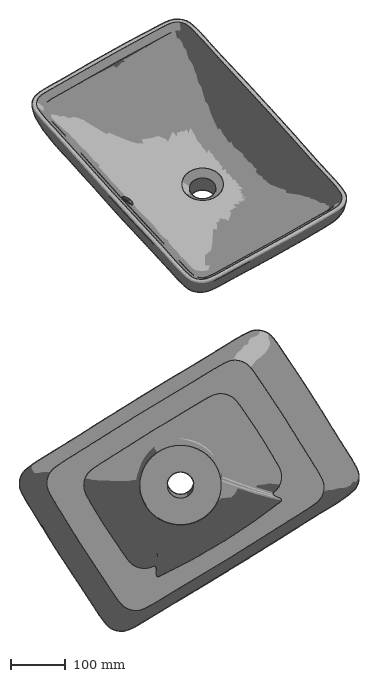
import math

import cadquery as cq

HEIGHT = 168.0
BODY_BOTTOM_Z = 68.0

RIM_HALF_X = 275.0
RIM_FRONT = 210.0
RIM_BACK = 150.0
RIM_CORNER = 38.0
RIM_BULGE = 2.5
RIM_ROUND = 3.0
WALL_TOP_Z = HEIGHT - RIM_ROUND
FOOT_INSET_X = 54.0
FOOT_INSET_FRONT = 35.0
FOOT_INSET_BACK = 9.0
WALL_POWER = 1.7

LIP_WIDTH = 9.0
LIP_CORNER = 30.0
LIP_BOTTOM_Z = 156.0
BASIN_TOP_CORNER = 24.0
BASIN_BULGE = 2.0

SIDE_FLOOR = (211.0, 1.75)
FRONT_FLOOR = (150.0, 1.5)
BACK_FLOOR = (117.0, 3.0)
SIDE_WALL = (254.5, 1.8)
FRONT_WALL = (190.0, 1.6)
BACK_WALL = (135.0, 1.25)
FLOOR_FRACTIONS = (0.0, 0.04, 0.15, 0.35, 0.65, 1.0)
WALL_FRACTIONS = (0.0, 0.5, 1.0)
FLOOR_EDGE_Z = 108.0
FLOOR_EDGE_CORNER = 42.0

DRAIN_RIM_DIA = 76.0
DRAIN_RIM_Z = 48.0
DRAIN_HOLE_DIA = 48.5
DRAIN_CONE_DEPTH = 12.0
FLOOR_START_RADIUS = 36.0

SHELL_DROP = 15.5
SHELL_BACK = (126.0, 1.65)
BOSS_DIA = 149.0
BOSS_TOP_Z = 50.0
BOSS_DRAFT = 4.0

OVERFLOW_DIA = 24.0
OVERFLOW_REACH = 168.0
OVERFLOW_DEPTH = 5.0
OVERFLOW_TILT = 45.0
HOUSING_BOTTOM_Z = 8.0
HOUSING_INNER = (67.0, -33.0)
HOUSING_OUTER = (138.0, -135.0)
HOUSING_FRONT_LOW = 75.0
HOUSING_FRONT_HIGH = 143.0
HOUSING_ROOT_Y = -20.0
HOUSING_POWER = 0.66

UNDERSIDE_ROUND = 4.0
EDGE_MARGIN = 0.5


def outline_quarter(half_x, half_y, corner, bulge):
    """Points from (half_x, 0) round to (0, half_y): bowed side, round corner, bowed side."""
    end_x = half_x - corner
    end_y = half_y - corner
    side_x = half_x - bulge
    side_y = half_y - bulge
    side_steps = (0.0, 0.4, 0.75, 1.0)
    x_side = [(half_x - bulge * step ** 2, end_y * step) for step in side_steps]
    y_side = [(end_x * step, half_y - bulge * step ** 2) for step in reversed(side_steps)]

    lean_x = 2 * bulge / end_y
    lean_y = 2 * bulge / end_x
    gap = corner - bulge
    apex_x = end_x + gap * (1 - lean_x) / (1 - lean_x * lean_y)
    apex_y = end_y + gap * (1 - lean_y) / (1 - lean_x * lean_y)
    turn = math.pi / 2 - math.atan(lean_x) - math.atan(lean_y)
    corner_arc = []
    for step in (0.25, 0.5, 0.75):
        start_weight = (1 - step) ** 2
        apex_weight = 2 * step * (1 - step) * math.cos(turn / 2)
        end_weight = step ** 2
        total = start_weight + apex_weight + end_weight
        x = (start_weight * side_x + apex_weight * apex_x + end_weight * end_x) / total
        y = (start_weight * end_y + apex_weight * apex_y + end_weight * side_y) / total
        corner_arc.append((x, y))
    return x_side + corner_arc + y_side


def rounded_outline(z, half_x, front, back, corner, bulge):
    """Closed rectangle at height z with bowed sides and round corners, as four smooth quarters."""
    along_x = cq.Vector(-1, 0, 0)
    along_y = cq.Vector(0, 1, 0)
    edges = []
    for sign_x, sign_y in ((1, 1), (-1, 1), (-1, -1), (1, -1)):
        quarter = outline_quarter(half_x, back if sign_y > 0 else front, corner, bulge)
        points = [cq.Vector(sign_x * x, sign_y * y, z) for x, y in quarter]
        tangents = [along_y * sign_y, along_x * sign_x]
        if sign_x != sign_y:
            points.reverse()
            tangents = [-tangent for tangent in reversed(tangents)]
        edges.append(cq.Edge.makeSpline(points, tangents))
    return cq.Wire.assembleEdges(edges)


def loft(outlines, ruled=False):
    return cq.Workplane(obj=cq.Solid.makeLoft(outlines, ruled))


def blend(start, end, fraction):
    return start + (end - start) * fraction


def outer_outline(z):
    """Outer wall outline, upright at the rim and leaning inwards below it."""
    lean = (max(0.0, WALL_TOP_Z - z) / (WALL_TOP_Z - BODY_BOTTOM_Z)) ** WALL_POWER
    return rounded_outline(
        z,
        RIM_HALF_X - FOOT_INSET_X * lean,
        RIM_FRONT - FOOT_INSET_FRONT * lean,
        RIM_BACK - FOOT_INSET_BACK * lean,
        RIM_CORNER,
        RIM_BULGE,
    )


def make_body():
    steps = 4
    levels = [blend(BODY_BOTTOM_Z, WALL_TOP_Z, step / steps) for step in range(steps + 1)] + [HEIGHT]
    return loft([outer_outline(z) for z in levels]).faces(">Z").edges().fillet(RIM_ROUND)


def floor_outline(fraction, back_profile, drop=0.0):
    """Basin floor outline, from the drain circle (0) out to the floor edge (1)."""
    eighth = math.pi / 8
    side, front, back = [
        blend(FLOOR_START_RADIUS, reach, fraction ** (1 / power))
        for reach, power in (SIDE_FLOOR, FRONT_FLOOR, back_profile)
    ]
    corner = blend(FLOOR_START_RADIUS * (1 - math.sin(eighth)), FLOOR_EDGE_CORNER, math.sqrt(fraction))
    bulge = blend(FLOOR_START_RADIUS * (1 - math.cos(eighth)), BASIN_BULGE, math.sqrt(fraction))
    z = blend(DRAIN_RIM_Z, FLOOR_EDGE_Z, fraction) - drop
    return rounded_outline(z, side, front, back, corner, bulge)


def wall_outline(fraction):
    """Basin wall outline, from the floor edge (0) up to the lip (1)."""
    profiles = ((SIDE_FLOOR, SIDE_WALL), (FRONT_FLOOR, FRONT_WALL), (BACK_FLOOR, BACK_WALL))
    side, front, back = [
        blend(floor_reach, wall_reach, 1 - (1 - fraction) ** power)
        for (floor_reach, _), (wall_reach, power) in profiles
    ]
    z = blend(FLOOR_EDGE_Z, LIP_BOTTOM_Z, fraction)
    corner = blend(FLOOR_EDGE_CORNER, BASIN_TOP_CORNER, fraction)
    return rounded_outline(z, side, front, back, corner, BASIN_BULGE)


def make_basin_cavity():
    floor = [floor_outline(fraction, BACK_FLOOR) for fraction in FLOOR_FRACTIONS]
    wall = [wall_outline(fraction) for fraction in WALL_FRACTIONS]
    lip_top = rounded_outline(
        HEIGHT, RIM_HALF_X - LIP_WIDTH, RIM_FRONT - LIP_WIDTH, RIM_BACK - LIP_WIDTH,
        LIP_CORNER, BASIN_BULGE,
    )
    lip = loft([wall_outline(1.0), lip_top], ruled=True)
    return loft(floor).union(loft(wall)).union(lip)


def make_basin_shell():
    """Convex underside of the basin, following the floor at a set drop."""
    outlines = [floor_outline(fraction, SHELL_BACK, SHELL_DROP) for fraction in FLOOR_FRACTIONS]
    return loft(outlines)


def make_boss():
    return cq.Workplane().circle(BOSS_DIA / 2).extrude(BOSS_TOP_Z, taper=-BOSS_DRAFT)


def housing_outline(z):
    """Fan-shaped outline with straight sides and a bowed front."""
    fraction = ((z - HOUSING_BOTTOM_Z) / (BODY_BOTTOM_Z - HOUSING_BOTTOM_Z)) ** HOUSING_POWER
    side_x = blend(HOUSING_INNER[0], HOUSING_OUTER[0], fraction)
    side_y = blend(HOUSING_INNER[1], HOUSING_OUTER[1], fraction)
    front_y = -blend(HOUSING_FRONT_LOW, HOUSING_FRONT_HIGH, fraction)
    fan_slope = (HOUSING_OUTER[0] - HOUSING_INNER[0]) / (HOUSING_INNER[1] - HOUSING_OUTER[1])
    root_x = HOUSING_INNER[0] - fan_slope * (HOUSING_ROOT_Y - HOUSING_INNER[1])
    return (
        cq.Workplane(origin=(0, 0, z))
        .moveTo(root_x, HOUSING_ROOT_Y)
        .lineTo(side_x, side_y)
        .threePointArc((0, front_y), (-side_x, side_y))
        .lineTo(-root_x, HOUSING_ROOT_Y)
        .close()
        .val()
    )


def make_overflow_housing():
    steps = 6
    fractions = [(step / steps) ** 2 for step in range(steps + 1)]
    levels = [blend(HOUSING_BOTTOM_Z, BODY_BOTTOM_Z, fraction) for fraction in fractions]
    return loft([housing_outline(z) for z in levels])


def make_drain():
    """Through hole with a conical mouth, the cone carried on into the open basin."""
    hole_radius = DRAIN_HOLE_DIA / 2
    flare = (DRAIN_RIM_DIA / 2 - hole_radius) / DRAIN_CONE_DEPTH
    cone_height = 2 * DRAIN_CONE_DEPTH
    cone_start = cq.Vector(0, 0, DRAIN_RIM_Z - DRAIN_CONE_DEPTH)
    cone = cq.Solid.makeCone(hole_radius, hole_radius + flare * cone_height, cone_height, cone_start)
    hole = cq.Workplane().circle(hole_radius).extrude(DRAIN_RIM_Z)
    return hole.union(cq.Workplane(obj=cone))


def make_overflow_hole():
    """Blind hole square to the sloping front wall of the basin."""
    floor_reach = FRONT_FLOOR[0]
    wall_reach, power = FRONT_WALL
    outward = (OVERFLOW_REACH - floor_reach) / (wall_reach - floor_reach)
    rise = 1 - (1 - outward) ** (1 / power)
    z = blend(FLOOR_EDGE_Z, LIP_BOTTOM_Z, rise)
    tilt = math.radians(OVERFLOW_TILT)
    inward = cq.Vector(0, math.cos(tilt), math.sin(tilt))
    start = cq.Vector(0, -OVERFLOW_REACH, z) - inward * OVERFLOW_DEPTH
    return cq.Workplane(obj=cq.Solid.makeCylinder(OVERFLOW_DIA / 2, 2 * OVERFLOW_DEPTH, start, inward))


def is_underside_junction(edge):
    """True for edges below the flat underside where shell, boss and housing faces meet."""
    box = edge.BoundingBox()
    below_body = EDGE_MARGIN < box.zmin < BODY_BOTTOM_Z - EDGE_MARGIN
    is_face_seam = box.xlen < EDGE_MARGIN or box.ylen < EDGE_MARGIN or edge.geomType() == "LINE"
    return below_body and not is_face_seam


def make_outside():
    shape = make_body().union(make_basin_shell()).union(make_boss()).union(make_overflow_housing())
    junctions = [edge for edge in shape.edges().vals() if is_underside_junction(edge)]
    return shape.newObject(junctions).fillet(UNDERSIDE_ROUND)


basin = make_outside().cut(make_basin_cavity()).cut(make_drain()).cut(make_overflow_hole())
result = basin.solids()